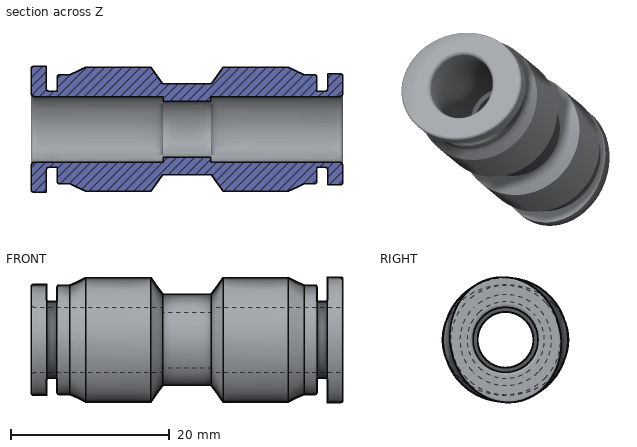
import cadquery as cq


half_length = 39.3 / 2
flange_thickness = 1.95
flange_back = half_length - flange_thickness
collar_end = 16.39
collar_start = 14.75
barrel_outer_end = 12.75
barrel_inner_end = 4.55
neck_end = 3.05

barrel_diameter = 15.7
collar_diameter = 13.8
neck_diameter = 11.5

sleeve_diameter = 9.7
flange_major = 15.9
flange_minor = 13.95

left_flange_turn = 0
right_flange_turn = 102

socket_diameter = 8.2
passage_diameter = 7.0

collar_edge_radius = 0.3
flange_edge_radius = 0.3
flange_root_radius = 0.25
mouth_radius = 0.45


def x_cylinder(start, diameter, length):
    """Cylinder on the X axis from x = start; a negative length runs toward -X."""
    return cq.Workplane("YZ", origin=(start, 0, 0)).circle(diameter / 2).extrude(length)


def make_body():
    """Turned body: two barrels with tapered shoulders, joined by the neck."""
    right_profile = [
        (collar_end, collar_diameter / 2),
        (collar_start, collar_diameter / 2),
        (barrel_outer_end, barrel_diameter / 2),
        (barrel_inner_end, barrel_diameter / 2),
        (neck_end, neck_diameter / 2),
    ]
    left_profile = [(-x, radius) for x, radius in reversed(right_profile)]
    outline = [(collar_end, 0)] + right_profile + left_profile + [(-collar_end, 0)]
    body = cq.Workplane("XY").polyline(outline).close().revolve(360, (0, 0, 0), (1, 0, 0))
    return body.faces("<X or >X").edges().fillet(collar_edge_radius)


def make_sleeve(side, flange_turn):
    """Release sleeve with its oval flange, at the end given by side (-1 or +1 along X)."""
    flange = (
        cq.Workplane("YZ", origin=(side * flange_back, 0, 0))
        .ellipse(flange_major / 2, flange_minor / 2)
        .extrude(side * flange_thickness)
    )
    outer_face = ">X" if side > 0 else "<X"
    flange = flange.faces(outer_face).edges().fillet(flange_edge_radius)
    tube = x_cylinder(side * neck_end, sleeve_diameter, side * (flange_back - neck_end))
    root = (
        cq.Workplane("XY")
        .moveTo(side * flange_back, 0)
        .lineTo(side * flange_back, sleeve_diameter / 2 + flange_root_radius)
        .radiusArc(
            (side * (flange_back - flange_root_radius), sleeve_diameter / 2),
            side * flange_root_radius,
        )
        .lineTo(side * (flange_back - flange_root_radius), 0)
        .close()
        .revolve(360, (0, 0, 0), (1, 0, 0))
    )
    flange = flange.rotate((0, 0, 0), (1, 0, 0), flange_turn)
    return flange.union(tube).union(root)


def cut_bore(part):
    """Passage through the neck, a socket from each end, and rounded mouths."""
    part = part.cut(x_cylinder(-half_length, passage_diameter, 2 * half_length))
    socket_depth = half_length - neck_end
    for side in (-1, 1):
        part = part.cut(x_cylinder(side * half_length, socket_diameter, -side * socket_depth))
    mouths = part.faces("<X or >X").edges("%CIRCLE")
    return mouths.fillet(mouth_radius)


union_body = make_body()
left_sleeve = make_sleeve(-1, left_flange_turn)
right_sleeve = make_sleeve(1, right_flange_turn)
result = cut_bore(union_body.union(left_sleeve).union(right_sleeve)).solids()